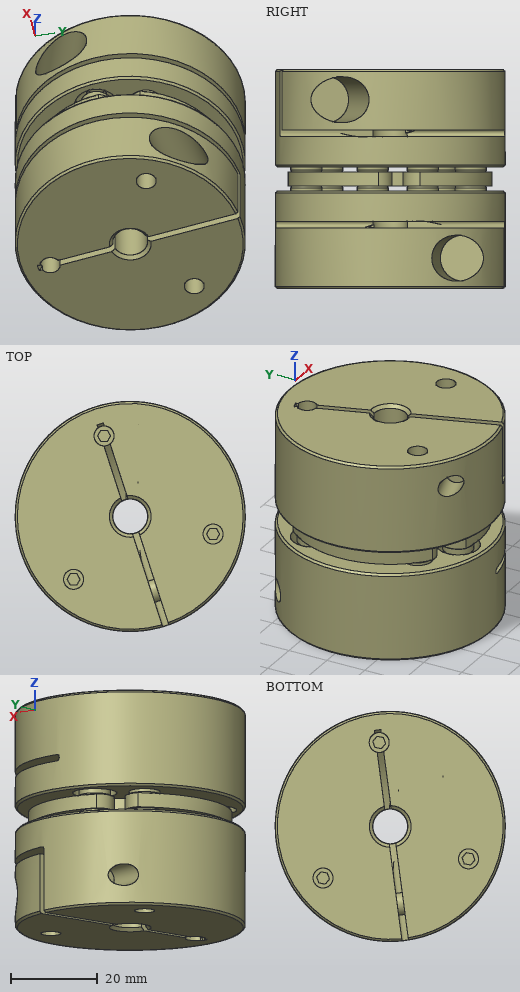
import cadquery as cq
import math


outer_dia = 53.0
outer_radius = outer_dia / 2
total_height = 50.49
hub_height = 22.5
hub_chamfer = 0.5
hub_gap = total_height - 2 * hub_height
bore_dia = 8.0
bore_chamfer = 0.8
overcut = 5.0

upper_slit_angle = -72.0
lower_slit_angle = 82.5

slit_width = 1.5
slot_radius = slit_width / 2
slot_ceiling_depth = 14.0
slot_mid_depth = slot_ceiling_depth + slot_radius
slot_swing = 15.0
saw_radius = 30.0
saw_offset = 4.0
saw_depth = 15.75

clamp_offset = 18.0
clamp_depth = 7.0
clamp_screw_dia = 5.1
clamp_tip = -12.8
clamp_head_dia = 10.6
clamp_head_seat = 8.0

screw_circle_radius = 19.5
screw_count = 3
screw_pitch = 360 / screw_count
access_dia = 4.6
head_height = 1.0
head_pocket_radius = 5.1
head_pocket_depth = 4.0
socket_flats = 2.6
socket_depth = 0.6
socket_turn = 12.0

plate_radius = 23.5
plate_thickness = 3.3
relief_core_radius = 17.0
lobe_radius = 4.5
washer_radius = 3.6
washer_chamfer_radial = 0.15
washer_chamfer_height = 0.4
washer_height = (hub_gap - plate_thickness) / 2


def polar(radius, angle):
    """Point at the given radius and angle in degrees."""
    return (radius * math.cos(math.radians(angle)), radius * math.sin(math.radians(angle)))


def screw_positions(slit_angle):
    """Disc screw centres; the first one lies opposite the slit opening."""
    return [polar(screw_circle_radius, slit_angle + 180 + i * screw_pitch) for i in range(screw_count)]



def hub_blank():
    """Chamfered disc with a bore that is countersunk in the outer face."""
    body = cq.Workplane("XY").circle(outer_radius).extrude(-hub_height)
    body = body.faces("<Z or >Z").chamfer(hub_chamfer)
    bore = cq.Workplane("XY").circle(bore_dia / 2).extrude(-hub_height)
    countersink = cq.Workplane("XY").add(
        cq.Solid.makeCone(bore_dia / 2 + bore_chamfer, bore_dia / 2, bore_chamfer, dir=cq.Vector(0, 0, -1))
    )
    return body.cut(bore).cut(countersink)


def along_y(diameter, start, end):
    """Cylinder on the clamp screw axis between two Y positions."""
    return cq.Workplane("XY").add(
        cq.Solid.makeCylinder(
            diameter / 2, end - start, cq.Vector(clamp_offset, start, -clamp_depth), cq.Vector(0, 1, 0)
        )
    )


def slit_cutter():
    """Vertical slit: an open straight cut plus a saw arc that runs out before the hinge rim."""
    reach = outer_radius + overcut
    straight = (
        cq.Workplane("XY")
        .rect(reach, slit_width)
        .extrude(-slot_mid_depth)
        .translate((reach / 2, 0, 0))
    )
    saw = (
        cq.Workplane("XZ")
        .center(saw_offset, saw_radius - saw_depth)
        .circle(saw_radius)
        .extrude(slot_radius, both=True)
    )
    clamp_shank = along_y(clamp_screw_dia, -slit_width, slit_width)
    return straight.union(saw).cut(clamp_shank)


def cross_slot_cutter():
    """Horizontal slot under the clamped half, with a rounded edge along both arms."""
    reach = outer_radius + overcut
    hinge_angle = 180 - slot_swing
    hinge_end = polar(2 * reach, hinge_angle)
    slot = (
        cq.Workplane("XY")
        .workplane(offset=-slot_mid_depth - slot_radius)
        .polyline([(0, 0), (2 * reach, 0), (2 * reach, 2 * reach), (hinge_end[0], 2 * reach), hinge_end])
        .close()
        .extrude(slit_width)
    )
    for angle in (0, hinge_angle):
        edge = cq.Solid.makeCylinder(
            slot_radius, reach, cq.Vector(0, 0, -slot_mid_depth), cq.Vector(*polar(1, angle), 0)
        )
        slot = slot.union(cq.Workplane("XY").add(edge))
    return slot


def cut_disc_screw_holes(hub):
    """Access holes through the hub, each opening into a head pocket in its inner face."""
    points = screw_positions(0)
    holes = cq.Workplane("XY").pushPoints(points).circle(access_dia / 2).extrude(-hub_height)
    pockets = (
        cq.Workplane("XY")
        .workplane(offset=-hub_height)
        .pushPoints(points)
        .circle(head_pocket_radius)
        .extrude(head_pocket_depth)
    )
    return hub.cut(holes).cut(pockets)


def make_hub():
    """Complete hub; the clamp screw bridges the slit as solid material."""
    hub = hub_blank().cut(slit_cutter()).cut(cross_slot_cutter())
    hub = hub.cut(along_y(clamp_screw_dia, -outer_radius, clamp_tip))
    hub = hub.cut(along_y(clamp_head_dia, clamp_head_seat, outer_radius))
    return cut_disc_screw_holes(hub)



def make_plate():
    """Plate with a relief between each pair of neighbouring washers of the two hubs."""
    plate = cq.Workplane("XY").circle(plate_radius).extrude(plate_thickness / 2, both=True)
    upper_first = upper_slit_angle + 180
    lower_first = lower_slit_angle + 180
    lobes = (
        cq.Workplane("XY")
        .pushPoints(screw_positions(upper_slit_angle) + screw_positions(lower_slit_angle))
        .circle(lobe_radius)
        .extrude(plate_thickness / 2, both=True)
    )
    for i in range(screw_count):
        start = upper_first + screw_pitch * (i + 1)
        end = lower_first + screw_pitch * i
        wedge = (
            cq.Workplane("XY")
            .moveTo(*polar(relief_core_radius, start))
            .threePointArc(polar(relief_core_radius, (start + end) / 2), polar(relief_core_radius, end))
            .lineTo(*polar(outer_radius, end))
            .lineTo(*polar(outer_radius, start))
            .close()
            .extrude(plate_thickness / 2, both=True)
        )
        plate = plate.cut(wedge.cut(lobes))
    return plate.cut(cq.Workplane("XY").circle(bore_dia / 2).extrude(plate_thickness, both=True))


def make_washer(height):
    """Washer standing on the top of the plate, its lower edge chamfered."""
    profile = [
        (0, 0),
        (washer_radius - washer_chamfer_radial, 0),
        (washer_radius, washer_chamfer_height),
        (washer_radius, height),
        (0, height),
    ]
    washer = cq.Workplane("XZ").polyline(profile).close().revolve(360, (0, 0, 0), (0, 1, 0))
    return washer.translate((0, 0, plate_thickness / 2))


def make_screw_head():
    """Washer and screw head in one stack of equal radius, with a hex socket in the end."""
    stack = make_washer(washer_height + head_height)
    socket = (
        cq.Workplane("XY")
        .workplane(offset=plate_thickness / 2 + washer_height + head_height - socket_depth)
        .polygon(6, socket_flats / math.cos(math.pi / 6))
        .extrude(socket_depth)
        .rotate((0, 0, 0), (0, 0, 1), socket_turn)
    )
    return stack.cut(socket)



def place_upper(shape):
    return shape.rotate((0, 0, 0), (0, 0, 1), upper_slit_angle)


def place_lower(shape):
    return shape.rotate((0, 0, 0), (1, 0, 0), 180).rotate((0, 0, 0), (0, 0, 1), lower_slit_angle)


hub_shape = make_hub().translate((0, 0, total_height / 2))
screw_head = make_screw_head()
upper_washer = make_washer(washer_height)
lower_washer = upper_washer.mirror("XY")

result = make_plate()
for x, y in screw_positions(0):
    local_head = screw_head.translate((x, y, 0))
    result = result.union(place_upper(local_head)).union(place_lower(local_head))
for x, y in screw_positions(upper_slit_angle):
    result = result.union(lower_washer.translate((x, y, 0)))
for x, y in screw_positions(lower_slit_angle):
    result = result.union(upper_washer.translate((x, y, 0)))
result = result.union(place_upper(hub_shape)).union(place_lower(hub_shape))